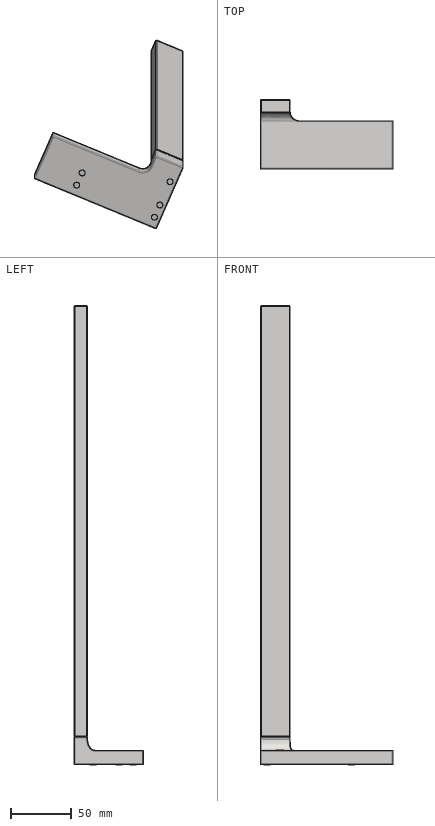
import cadquery as cq

LENGTH = 110.0
DEPTH = 57.5
HEIGHT = 380.3

COLUMN_WIDTH = 24.7
COLUMN_DEPTH = 11.0
COLUMN_CHAMFER = 0.8

PLATE_DEPTH = 40.0
PLATE_THICKNESS = 11.8
STUB_HEIGHT = 23.0
EDGE_ROUND = 0.8
BLEND_RISE = 9.0
PLAN_BLEND_RADIUS = 7.5

FOOT_DIAMETER = 5.0
FOOT_HEIGHT = 0.5
FOOT_LEFT_X = 5.5
FOOT_RIGHT_X = 75.3
FOOT_FRONT_Y = 8.7
FOOT_MIDDLE_Y = 20.0
FOOT_REAR_Y = 42.0

BASE_BOTTOM_Z = FOOT_HEIGHT
PLATE_TOP_Z = BASE_BOTTOM_Z + PLATE_THICKNESS
STUB_TOP_Z = BASE_BOTTOM_Z + STUB_HEIGHT
STUB_FRONT_Y = DEPTH - COLUMN_DEPTH
BLEND_RUN = STUB_FRONT_Y - PLATE_DEPTH
LOWER_RIGHT_QUARTER = (270, 360)
BLEND_TOP_Z = PLATE_TOP_Z + BLEND_RISE
PLAN_BLEND_END_X = COLUMN_WIDTH + PLAN_BLEND_RADIUS
PLAN_BLEND_END_Y = PLATE_DEPTH + PLAN_BLEND_RADIUS
FOOT_CENTRES = [
    (FOOT_LEFT_X, FOOT_FRONT_Y),
    (FOOT_LEFT_X, FOOT_MIDDLE_Y),
    (FOOT_LEFT_X, FOOT_REAR_Y),
    (FOOT_RIGHT_X, FOOT_FRONT_Y),
    (FOOT_RIGHT_X, FOOT_MIDDLE_Y),
]
SELECTION_MARGIN = 0.05


def base_side_profile():
    """Solid with the YZ section of the base: plate, stub and the elliptical blend between them."""
    return (
        cq.Workplane("YZ")
        .moveTo(0, BASE_BOTTOM_Z)
        .lineTo(DEPTH, BASE_BOTTOM_Z)
        .lineTo(DEPTH, STUB_TOP_Z)
        .lineTo(STUB_FRONT_Y, STUB_TOP_Z)
        .lineTo(STUB_FRONT_Y, BLEND_TOP_Z)
        .ellipseArc(BLEND_RUN, BLEND_RISE, *LOWER_RIGHT_QUARTER, sense=-1)
        .lineTo(0, PLATE_TOP_Z)
        .close()
        .extrude(LENGTH)
    )


def base_plan_profile():
    """Solid with the XY outline of the base: plate and rear tab with a rounded inner corner."""
    return (
        cq.Workplane("XY", origin=(0, 0, BASE_BOTTOM_Z))
        .lineTo(LENGTH, 0)
        .lineTo(LENGTH, PLATE_DEPTH)
        .lineTo(PLAN_BLEND_END_X, PLATE_DEPTH)
        .radiusArc((COLUMN_WIDTH, PLAN_BLEND_END_Y), PLAN_BLEND_RADIUS)
        .lineTo(COLUMN_WIDTH, DEPTH)
        .lineTo(0, DEPTH)
        .close()
        .extrude(STUB_HEIGHT)
    )


def blend_line_selector():
    """Selects the straight edges around the blends, which stay unrounded.

    They are the lines where the blends start and end and the short uprights above the blend.
    """
    corner_region = cq.selectors.BoxSelector(
        (-SELECTION_MARGIN, PLATE_DEPTH - SELECTION_MARGIN, BASE_BOTTOM_Z + SELECTION_MARGIN),
        (
            PLAN_BLEND_END_X + SELECTION_MARGIN,
            PLAN_BLEND_END_Y + SELECTION_MARGIN,
            STUB_TOP_Z - SELECTION_MARGIN,
        ),
    )
    return cq.selectors.TypeSelector("LINE") & corner_region


def make_base():
    """Plate and stub in one piece, with the outer edges rounded."""
    blank = base_side_profile().intersect(base_plan_profile())
    return blank.edges(-blend_line_selector()).fillet(EDGE_ROUND)


def make_column():
    """Plain upright bar standing on the stub, with all edges chamfered."""
    return (
        cq.Workplane("XY", origin=(0, STUB_FRONT_Y, STUB_TOP_Z))
        .box(COLUMN_WIDTH, COLUMN_DEPTH, HEIGHT - STUB_TOP_Z, centered=False)
        .edges()
        .chamfer(COLUMN_CHAMFER)
    )


def make_foot(centre):
    """Thin round pad under the base."""
    return cq.Workplane("XY").center(*centre).circle(FOOT_DIAMETER / 2).extrude(FOOT_HEIGHT)


base = make_base()
column = make_column()
feet = [make_foot(centre) for centre in FOOT_CENTRES]

result = cq.Compound.makeCompound([base.solids().val(), column.solids().val(), *[foot.val() for foot in feet]])